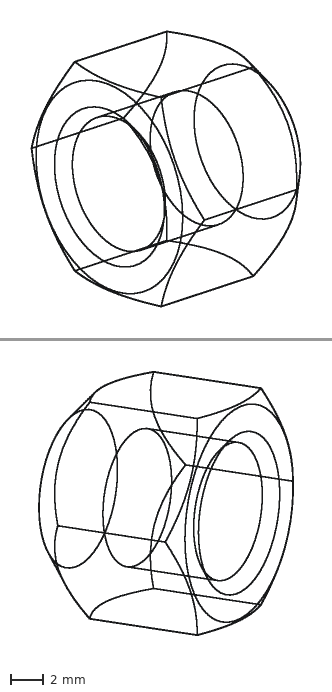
import cadquery as cq
import math

corner_diameter = 16.17
corner_radius = corner_diameter / 2
length = 11.5

front_face_radius = 6.85
front_chamfer_angle = 30.0
back_face_radius = 4.98
back_chamfer_angle = 45.0

bore_radius = 4.35
bore_depth = 7.28
drill_point_angle = 135.0
mouth_radius = 5.15
mouth_chamfer_angle = 45.0


def rise(radial_change, angle):
    """Axial length of a cone whose wall is tilted by angle from the end face."""
    return radial_change * math.tan(math.radians(angle))


def revolve_about_y(points):
    """Turn a closed (radius, Y) outline into a solid of revolution about Y."""
    return cq.Workplane("XY").polyline(points).close().revolve(360, (0, 0, 0), (0, 1, 0))


def hexagonal_prism():
    return cq.Workplane("XZ").polygon(6, corner_diameter).extrude(-length)


def chamfered_envelope():
    front_chamfer = rise(corner_radius - front_face_radius, front_chamfer_angle)
    back_chamfer = rise(corner_radius - back_face_radius, back_chamfer_angle)
    return revolve_about_y([
        (0, 0),
        (front_face_radius, 0),
        (corner_radius, front_chamfer),
        (corner_radius, length - back_chamfer),
        (back_face_radius, length),
        (0, length),
    ])


def blind_bore():
    mouth_chamfer = rise(mouth_radius - bore_radius, mouth_chamfer_angle)
    point_length = rise(bore_radius, 90 - drill_point_angle / 2)
    return revolve_about_y([
        (0, 0),
        (mouth_radius, 0),
        (bore_radius, mouth_chamfer),
        (bore_radius, bore_depth),
        (0, bore_depth + point_length),
    ])


result = hexagonal_prism().intersect(chamfered_envelope()).cut(blind_bore())